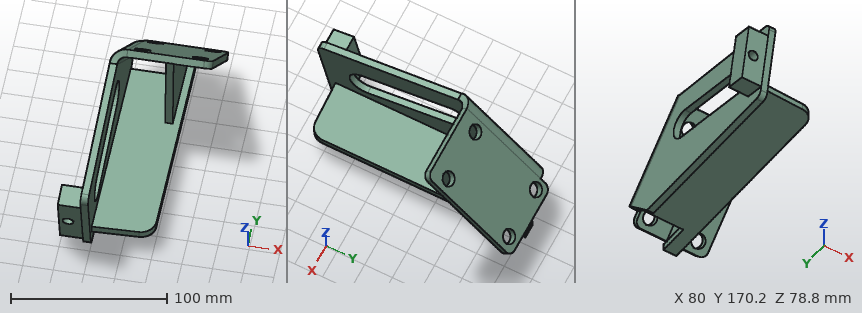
import cadquery as cq
import math


sheet = 5.0
bend_inner_radius = 5.0
bend_outer_radius = bend_inner_radius + sheet

flange_right = 65.0
flange_left = bend_outer_radius
flange_width = flange_right - flange_left
flange_out = 36.0
flange_inner_out = flange_out - sheet
flange_length = 85.06
flange_corner_radius = 5.0
hole_diameter = 10.0
hole_first_x = 18.0
hole_pitch_x = 37.5
hole_first_up = -0.9
hole_pitch_up = 61.7

bend_line_out = flange_out - bend_outer_radius
bend_line_top = 78.2
bend_trim_margin = 1.0
top_edge_angle = math.radians(10.0)
front_edge_slope = 0.2
front_edge_angle = math.atan(front_edge_slope)
front_edge_foot_y = -127.56
plate_corner_radius = 5.0

slot_width = 21.4
slot_centre_distance = 65.0
slot_rear_centre = (-40.5, 45.1)

base_bottom = 10.0
base_top = base_bottom + sheet
base_right = 45.0
base_front_left_y = -125.0
base_front_right_y = -123.5
base_notch_y = base_bottom
base_corner_radius = 10.0

rib_left = 35.0
rib_top = 71.4
rib_front_lean = 3.0

block_width = 15.0
block_depth = 15.0
block_length = 40.0
block_start = 6.6
block_hole_diameter = 7.0
block_hole_x = -9.0

root_two = math.sqrt(2.0)
flange_bottom = base_top * root_two - flange_inner_out
flange_top = flange_bottom + flange_length
base_rear_y = (flange_out - flange_bottom) / root_two

up_direction = cq.Vector(0, -1, 1)
out_direction = cq.Vector(0, 1, 1)


def slope_point(out, up):
    """(Y, Z) of a point given square to the flange and along it."""
    return ((out - up) / root_two, (out + up) / root_two)


def yz_plane(x):
    """Plane square to X whose local axes are Y and Z."""
    return cq.Workplane("YZ", origin=(x, 0, 0))


def make_side_plate():
    bend_bottom_point = slope_point(bend_line_out, 0)
    bend_top_point = slope_point(bend_line_out, bend_line_top)
    rise = math.tan(top_edge_angle)
    top_at_foot = bend_top_point[1] - rise * (bend_top_point[0] - front_edge_foot_y)
    front_top_z = top_at_foot / (1 + rise * front_edge_slope)
    front_top_y = front_edge_foot_y - front_edge_slope * front_top_z
    plate = (
        yz_plane(0)
        .polyline([
            (0, 0),
            bend_bottom_point,
            bend_top_point,
            (front_top_y, front_top_z),
            (front_edge_foot_y, 0),
        ])
        .close()
        .extrude(sheet)
    )
    front_edges = cq.selectors.BoxSelector(
        (-sheet, front_top_y - sheet, -sheet),
        (2 * sheet, front_edge_foot_y + sheet, front_top_z + sheet),
    )
    plate = plate.edges("|X").edges(front_edges).fillet(plate_corner_radius)
    slot_centre = (
        slot_rear_centre[0] - slot_centre_distance / 2 * math.cos(front_edge_angle),
        slot_rear_centre[1] - slot_centre_distance / 2 * math.sin(front_edge_angle),
    )
    slot = (
        yz_plane(0)
        .center(*slot_centre)
        .slot2D(slot_centre_distance + slot_width, slot_width, math.degrees(front_edge_angle))
        .extrude(sheet)
    )
    return plate.cut(slot)


def make_bend():
    """Quarter bend whose upper end climbs evenly from the flange to the side plate.

    It is built upright about its own axis: X starts towards the flange, Z is up the slope.
    """
    climb = bend_line_top - flange_top
    tube = (
        cq.Workplane("XY")
        .circle(bend_outer_radius)
        .circle(bend_inner_radius)
        .extrude(bend_line_top)
    )
    quarter = cq.Workplane("XY").rect(bend_outer_radius, bend_outer_radius, centered=False)
    bend = tube.intersect(quarter.extrude(bend_line_top))
    trim_inner_radius = bend_inner_radius - bend_trim_margin
    trim_outer_radius = bend_outer_radius + bend_trim_margin
    path = cq.Wire.makeHelix(4 * climb, climb, trim_inner_radius)
    strip = cq.Workplane("XZ").polyline([
        (trim_inner_radius, flange_top),
        (trim_outer_radius, flange_top),
        (trim_outer_radius, bend_line_top + climb),
        (trim_inner_radius, bend_line_top + climb),
    ]).close()
    bend = bend.cut(strip.sweep(cq.Workplane(path), isFrenet=True))
    axis_y, axis_z = slope_point(bend_line_out, 0)
    bend_frame = cq.Plane((bend_outer_radius, axis_y, axis_z), out_direction, up_direction)
    return cq.Workplane(bend.solids().val().moved(cq.Location(bend_frame)))


def make_flange():
    frame = cq.Plane((0, 0, 0), cq.Vector(1, 0, 0), out_direction)
    face = cq.Workplane(frame).workplane(offset=flange_inner_out)
    flange = (
        face
        .center(flange_left + flange_width / 2, -(flange_bottom + flange_top) / 2)
        .rect(flange_width, flange_length)
        .extrude(sheet)
    )
    rounded_corners = [
        (flange_left, flange_bottom),
        (flange_right, flange_bottom),
        (flange_right, flange_top),
    ]
    for x, up in rounded_corners:
        corner = cq.Vector(x, *slope_point(flange_out - sheet / 2, up))
        flange = flange.edges(cq.selectors.NearestToPointSelector(corner.toTuple())).fillet(
            flange_corner_radius
        )
    hole_centres = [
        (hole_first_x + column * hole_pitch_x, -(hole_first_up + row * hole_pitch_up))
        for column in range(2)
        for row in range(2)
    ]
    holes = face.pushPoints(hole_centres).circle(hole_diameter / 2).extrude(sheet)
    return flange.cut(holes)


def make_bracket():
    return make_side_plate().union(make_bend()).union(make_flange())


def make_base_plate():
    plate = (
        cq.Workplane("XY", origin=(0, 0, base_bottom))
        .polyline([
            (sheet, base_front_left_y),
            (base_right, base_front_right_y),
            (base_right, base_rear_y),
            (rib_left, base_rear_y),
            (rib_left, base_notch_y),
            (sheet, base_notch_y),
        ])
        .close()
        .extrude(sheet)
    )
    return plate.edges("|Z").edges(">X").edges("<Y").fillet(base_corner_radius)


def make_rib():
    """Triangular web between the base plate and the underside of the flange."""
    rib_top_y = flange_inner_out * root_two - rib_top
    return (
        yz_plane(rib_left)
        .polyline([
            slope_point(flange_inner_out, flange_bottom),
            (rib_top_y, rib_top),
            (rib_top_y - rib_front_lean, base_top),
        ])
        .close()
        .extrude(sheet)
    )


def make_block():
    """Block on the outside of the side plate, flush with its leaning front edge."""
    along = cq.Vector(0, -math.sin(front_edge_angle), math.cos(front_edge_angle))
    foot = cq.Vector(0, front_edge_foot_y - front_edge_slope * block_start, block_start)
    middle = foot + along * (block_length / 2)
    inward = cq.Vector(0, math.cos(front_edge_angle), math.sin(front_edge_angle))
    front_face = cq.Workplane(cq.Plane(middle, cq.Vector(1, 0, 0), inward))
    block = front_face.center(-block_width / 2, 0).rect(block_width, block_length).extrude(block_depth)
    hole = front_face.center(block_hole_x, 0).circle(block_hole_diameter / 2).extrude(block_depth)
    return block.cut(hole)


bracket = make_bracket()
base_plate = make_base_plate()
rib = make_rib()
block = make_block()

bodies = [bracket, base_plate, rib, block]
result = cq.Compound.makeCompound([body.solids().val() for body in bodies])